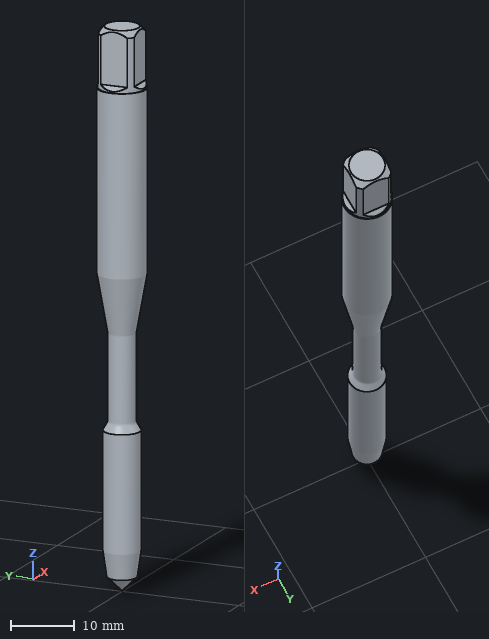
import cadquery as cq
import math


overall_length = 92.19

thread_diameter = 6.11
thread_top = 26.34
lead_length = 4.35
lead_angle = 8.0
point_half_angle = 45.0

neck_diameter = 4.57
neck_fillet = 1.0
thread_runout_angle = 30.0

shank_diameter = 8.0
shank_bottom = 51.92
shank_taper_angle = 10.0

drive_corner_diameter = 7.68
drive_across_flats = 6.2
drive_length = 10.0
flat_length = 9.0
flat_runout_angle = 45.0
drive_chamfer = 1.0

thread_radius = thread_diameter / 2
neck_radius = neck_diameter / 2
shank_radius = shank_diameter / 2
drive_radius = drive_corner_diameter / 2
shank_top = overall_length - drive_length


def slope(angle):
    """Radial change per unit of axial length for a cone of this half angle."""
    return math.tan(math.radians(angle))


def turned(profile):
    """Revolve a closed (radius, z) profile about the Z axis."""
    return profile.close().revolve(360, (0, 0, 0), (0, 1, 0))


def make_threaded_section():
    """Plain thread cylinder with a lead taper ending in a conical point."""
    point_radius = thread_radius - lead_length * slope(lead_angle)
    point_length = point_radius / slope(point_half_angle)
    profile = (
        cq.Workplane("XZ")
        .moveTo(0, 0)
        .lineTo(point_radius, point_length)
        .lineTo(thread_radius, point_length + lead_length)
        .lineTo(thread_radius, thread_top)
        .lineTo(0, thread_top)
    )
    return turned(profile)


def neck_blend(angle):
    """Radial rise and axial run of a fillet that turns from the neck onto a cone of this half angle."""
    turn = math.radians(angle)
    return neck_fillet * (1 - math.cos(turn)), neck_fillet * math.sin(turn)


def make_turned_shank():
    """Neck with filleted cones at both ends, then the shank and the round blank of the drive."""
    lower_rise, lower_run = neck_blend(thread_runout_angle)
    lower_cone_radius = neck_radius + lower_rise
    lower_cone_top = thread_top + (thread_radius - lower_cone_radius) / slope(thread_runout_angle)
    neck_bottom = lower_cone_top + lower_run

    upper_rise, upper_run = neck_blend(shank_taper_angle)
    upper_cone_radius = neck_radius + upper_rise
    upper_cone_bottom = shank_bottom - (shank_radius - upper_cone_radius) / slope(shank_taper_angle)
    neck_top = upper_cone_bottom - upper_run

    profile = (
        cq.Workplane("XZ")
        .moveTo(0, thread_top)
        .lineTo(thread_radius, thread_top)
        .lineTo(lower_cone_radius, lower_cone_top)
        .tangentArcPoint((neck_radius, neck_bottom), relative=False)
        .lineTo(neck_radius, neck_top)
        .tangentArcPoint((upper_cone_radius, upper_cone_bottom), relative=False)
        .lineTo(shank_radius, shank_bottom)
        .lineTo(shank_radius, shank_top)
        .lineTo(drive_radius, shank_top)
        .lineTo(drive_radius, overall_length - drive_chamfer)
        .lineTo(drive_radius - drive_chamfer, overall_length)
        .lineTo(0, overall_length)
    )
    return turned(profile)


def make_flat_cutter():
    """Material removed for the +X flat, whose lower end slopes out to the shank surface."""
    flat_x = drive_across_flats / 2
    flat_bottom = overall_length - flat_length
    runout_length = (shank_radius - flat_x) / slope(flat_runout_angle)
    return (
        cq.Workplane("XZ")
        .moveTo(flat_x, overall_length)
        .lineTo(flat_x, flat_bottom)
        .lineTo(shank_radius, flat_bottom - runout_length)
        .lineTo(shank_radius, overall_length)
        .close()
        .extrude(shank_radius, both=True)
    )


threaded_section = make_threaded_section()

shank = make_turned_shank()
for quarter_turn in range(4):
    shank = shank.cut(make_flat_cutter().rotate((0, 0, 0), (0, 0, 1), 90 * quarter_turn))

result = cq.Compound.makeCompound([threaded_section.val(), shank.val()])